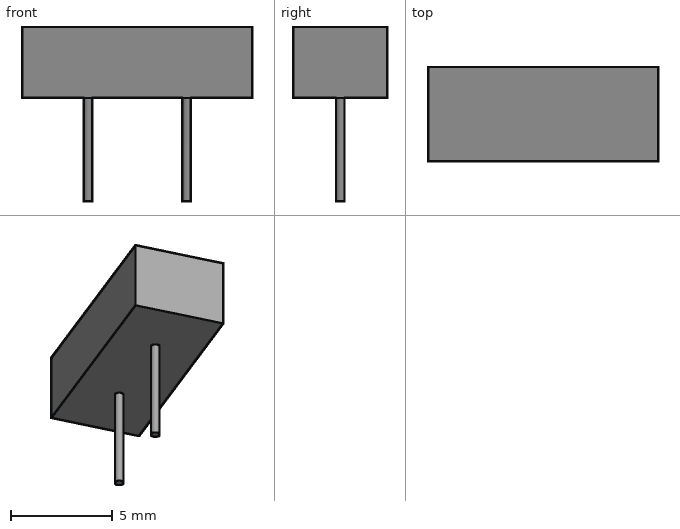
import cadquery as cq

housing_length = 11.35
housing_width = 4.65
housing_height = 3.5

lead_diameter = 0.43
lead_length = 5.11
lead_spacing = 4.87


def make_housing():
    """Plain block, centred in X and Y, standing on Z = 0."""
    return cq.Workplane("XY").box(
        housing_length, housing_width, housing_height, centered=(True, True, False)
    )


def make_lead(x):
    """Straight round lead hanging from the underside of the housing."""
    return cq.Workplane("XY").center(x, 0).circle(lead_diameter / 2).extrude(-lead_length)


housing = make_housing()
leads = [make_lead(side * lead_spacing / 2) for side in (-1, 1)]

result = cq.Compound.makeCompound([housing.val(), *[lead.val() for lead in leads]])